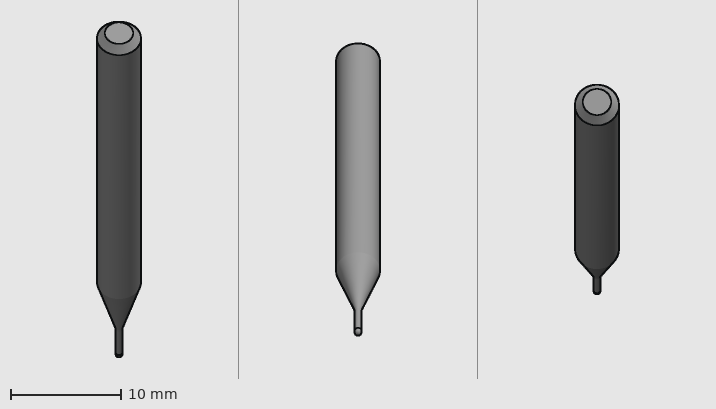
import cadquery as cq
import math

overall_length = 45.0
shank_radius = 2.002
top_chamfer = 0.7

taper_top = 10.3
taper_bottom = 4.05
neck_top = 3.8
neck_radius = 0.325
taper_end_radius = 0.35

tip_radius = neck_radius
tip_length = 0.55


def make_shank():
    """Chamfered shank, taper and slender neck, revolved about Z."""
    return (
        cq.Workplane("XZ")
        .moveTo(0, tip_length)
        .lineTo(neck_radius, tip_length)
        .lineTo(neck_radius, neck_top)
        .lineTo(taper_end_radius, taper_bottom)
        .lineTo(shank_radius, taper_top)
        .lineTo(shank_radius, overall_length - top_chamfer)
        .lineTo(shank_radius - top_chamfer, overall_length)
        .lineTo(0, overall_length)
        .close()
        .revolve(360, (0, 0, 0), (0, 1, 0))
    )


def make_cutting_tip():
    """Hemispherical nose with a short cylindrical land above it."""
    arc_offset = tip_radius * math.sqrt(0.5)
    return (
        cq.Workplane("XZ")
        .moveTo(0, 0)
        .threePointArc((arc_offset, tip_radius - arc_offset), (tip_radius, tip_radius))
        .lineTo(tip_radius, tip_length)
        .lineTo(0, tip_length)
        .close()
        .revolve(360, (0, 0, 0), (0, 1, 0))
    )


shank = make_shank()
cutting_tip = make_cutting_tip()
result = cq.Compound.makeCompound([shank.val(), cutting_tip.val()])